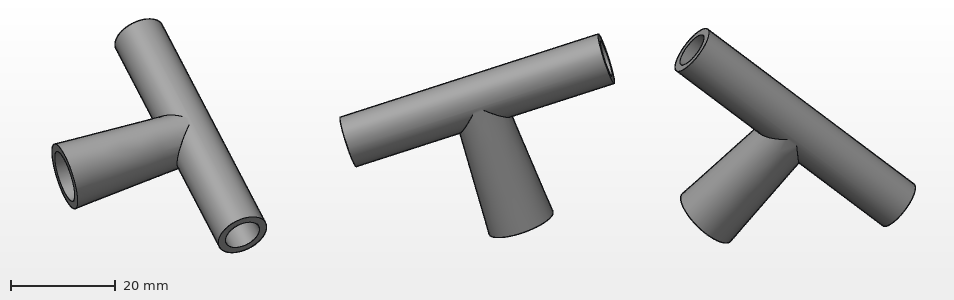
import cadquery as cq

run_length = 52.0
run_diameter = 10.0
run_bore = 7.0
branch_reach = 26.0
mouth_diameter = 13.0
mouth_bore = 10.0


def run_cylinder(diameter):
    """Cylinder along X, centred on the origin."""
    return cq.Workplane("YZ").circle(diameter / 2).extrude(run_length / 2, both=True)


def branch_cone(root_diameter, end_diameter):
    """Cone along -Y that widens from the run axis to the branch mouth."""
    return (
        cq.Workplane("XZ")
        .circle(root_diameter / 2)
        .workplane(offset=branch_reach)
        .circle(end_diameter / 2)
        .loft(ruled=True)
    )


body = run_cylinder(run_diameter).union(branch_cone(run_diameter, mouth_diameter))
passages = run_cylinder(run_bore).union(branch_cone(run_bore, mouth_bore))

result = body.cut(passages)